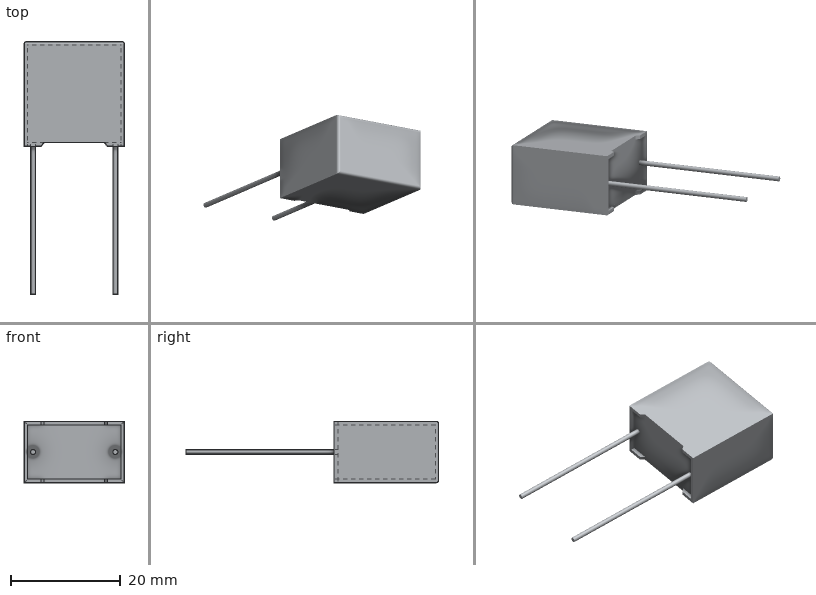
import cadquery as cq


case_width = 18.3
case_depth = 19.1
case_height = 11.21
side_wall = 0.6
top_wall = 0.7
back_wall = 0.6
back_edge_radius = 0.5

relief_depth = 0.7
relief_mouth_width = 12.1
relief_floor_width = 11.0

fill_width = case_width - 2 * side_wall
fill_height = case_height - 2 * top_wall
fill_front = relief_depth
fill_depth = case_depth - back_wall - fill_front

lead_diameter = 0.9
lead_pitch = 15.0
lead_reach = 27.0


def block(width, depth, height, front):
    """Block centred on X and Z that runs from Y = front towards +Y."""
    return (
        cq.Workplane("XY")
        .box(width, depth, height, centered=(True, False, True))
        .translate((0, front, 0))
    )


def make_relief():
    """Trapezoidal cutter that runs through the whole case height."""
    return (
        cq.Workplane("XY")
        .polyline([
            (-relief_mouth_width / 2, 0),
            (relief_mouth_width / 2, 0),
            (relief_floor_width / 2, relief_depth),
            (-relief_floor_width / 2, relief_depth),
        ])
        .close()
        .extrude(case_height / 2, both=True)
    )


def make_case():
    """Open box with rounded back edges and a relieved mouth."""
    body = block(case_width, case_depth, case_height, 0)
    body = body.faces(">Y").edges().fillet(back_edge_radius)
    cavity = block(fill_width, case_depth - back_wall, fill_height, 0)
    return body.cut(cavity).cut(make_relief())


def make_fill():
    """Potting block that fills the cavity behind its front face."""
    return block(fill_width, fill_depth, fill_height, fill_front)


def make_lead(x):
    """Round wire that stands on the fill face and points to -Y."""
    return (
        cq.Workplane("XZ", origin=(x, fill_front, 0))
        .circle(lead_diameter / 2)
        .extrude(fill_front + lead_reach)
    )


case = make_case()
fill = make_fill()
leads = [make_lead(side * lead_pitch / 2) for side in (-1, 1)]

result = cq.Compound.makeCompound([case.val(), fill.val(), *[lead.val() for lead in leads]])